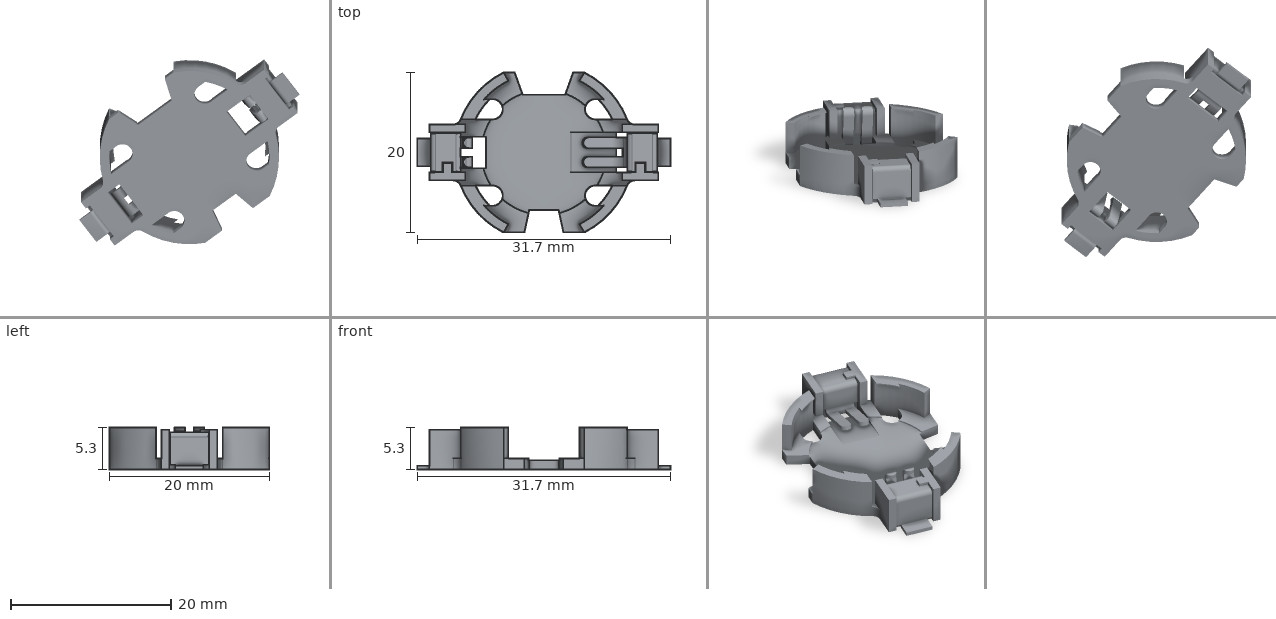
import cadquery as cq
import math


LEFT, RIGHT = -1, 1
SIDES = (LEFT, RIGHT)

plate_radius = 11.2
plate_half_depth = 10.0
plate_height = 1.4
cell_seat_radius = 7.82
cell_seat_floor = 1.2
notch_inner_y = 7.22
back_notch_half_widths = (2.65, 3.65)
front_notch_half_widths = (1.83, 2.43)
arm_half_width = 4.15
arm_end_x = 11.34
arm_flare_radius = 1.0

rim_height = 5.3
rim_inner_radius = 10.0
rim_end_inner_x = 4.43
slot_round_x = 6.4
lip_inner_radius = 9.5
lip_height = 0.15
slot_width = 2.5
slot_outer_y = arm_half_width + slot_width

wall_inner_x = 9.8
wall_outer_x = 14.3
wall_inner_y = 2.5
wall_thickness = 1.0
wall_outer_y = wall_inner_y + wall_thickness
wall_height = 5.0
hook_inner_x = 11.5
hook_outer_x = 12.6
hook_tip_y = -1.35

sheet = 0.5
tight_bend = 0.1
clip_inner_x = 10.4
clip_outer_x = 14.17
clip_width = 4.8
clip_top = 4.7
clip_leg_end = 1.66
clip_notch_gap = 0.1
tab_end_x = 15.85
tab_width = 3.5

finger_width = 1.35
finger_offset = 1.2
finger_pair_width = 2 * finger_offset + finger_width
flat_bend = 0.37
flat_finger_rise = 15.0
flat_finger_tip_x = 4.87
side_bend_z = 0.75
side_hook_x = -9.75
side_hook_bend = 0.3
side_tip_x = -10.07

side_window_inner_x = 7.24
side_window_half_width = 1.95
ramp_start_x = 3.34
ramp_end_x = 9.07
ramp_end_z = 0.7

core_inner_x = clip_inner_x + sheet
core_outer_x = clip_outer_x - sheet
core_height = clip_top - sheet


def box(x_range, y_range, z_range):
    corners = [sorted(pair) for pair in (x_range, y_range, z_range)]
    sizes = [high - low for low, high in corners]
    lows = [low for low, high in corners]
    return cq.Workplane("XY").box(*sizes, centered=False).translate(tuple(lows))


def on_circle(radius, y):
    return (math.sqrt(radius**2 - y**2), y)


def in_quadrants(solid_at):
    """Join the solids that a function of the X and Y signs makes in the four quadrants."""
    joined = cq.Workplane("XY")
    for x_side in SIDES:
        for y_side in SIDES:
            joined = joined.add(solid_at(x_side, y_side))
    return joined.combine()



def edge_notch(half_widths, side):
    inner, outer = half_widths
    points = [
        (-inner, side * notch_inner_y),
        (-outer, side * plate_half_depth),
        (outer, side * plate_half_depth),
        (inner, side * notch_inner_y),
    ]
    return cq.Workplane("XY").polyline(points).close().extrude(plate_height)


def arm_flare(x_side, y_side):
    """Concave flare from the plate edge out to a tower wall."""
    edge_x = on_circle(plate_radius, arm_half_width)[0]
    return (
        cq.Workplane("XY")
        .moveTo(x_side * wall_inner_x, y_side * wall_outer_y)
        .lineTo(x_side * arm_end_x, y_side * wall_outer_y)
        .radiusArc((x_side * edge_x, y_side * arm_half_width), x_side * y_side * arm_flare_radius)
        .lineTo(x_side * wall_inner_x, y_side * arm_half_width)
        .close()
        .extrude(plate_height)
    )


def relief_slot(x_side, y_side):
    middle = (x_side * slot_round_x, y_side * (arm_half_width + slot_width / 2))
    round_end = cq.Workplane("XY").center(*middle).circle(slot_width / 2).extrude(plate_height)
    channel = box(
        (x_side * slot_round_x, x_side * plate_radius),
        (y_side * arm_half_width, y_side * slot_outer_y),
        (0, plate_height),
    )
    inside_rim = cq.Workplane("XY").circle(rim_inner_radius).extrude(plate_height)
    return round_end.union(channel).intersect(inside_rim)


def space_between_rims():
    """Everything above the plate that is open, leaving the four rim segments and their snap lips."""
    base = cq.Workplane("XY").workplane(offset=plate_height)
    height = rim_height - plate_height
    above = (plate_height, rim_height)
    all_x = (-plate_radius, plate_radius)
    lip_z = (rim_height - lip_height, rim_height)
    lips = box(all_x, (-slot_outer_y, slot_outer_y), lip_z)
    lips = lips.cut(cq.Workplane("XY").circle(lip_inner_radius).extrude(rim_height))
    space = base.circle(rim_inner_radius).extrude(height).cut(lips)
    space = space.union(box(all_x, (-arm_half_width, arm_half_width), above))
    inner_y = math.sqrt(rim_inner_radius**2 - rim_end_inner_x**2)
    outer_x = on_circle(plate_radius, plate_half_depth)[0]
    for y_side in SIDES:
        end_gap = [
            (0, 0),
            (rim_end_inner_x, y_side * inner_y),
            (outer_x, y_side * plate_half_depth),
            (-outer_x, y_side * plate_half_depth),
            (-rim_end_inner_x, y_side * inner_y),
        ]
        space = space.union(base.polyline(end_gap).close().extrude(height))
    return space


def finger_ramp():
    """Wedge below the cell seat that gives the flat fingers room to bend down."""
    points = [
        (ramp_start_x, cell_seat_floor),
        (ramp_end_x, ramp_end_z),
        (ramp_end_x, plate_height),
        (ramp_start_x, plate_height),
    ]
    return cq.Workplane("XZ").polyline(points).close().extrude(wall_inner_y, both=True)


def tower(side):
    def span(x_range, y_range, z_range):
        return box([side * x for x in x_range], y_range, z_range)

    body = span((core_inner_x, core_outer_x), (-wall_inner_y, wall_inner_y), (0, core_height))
    body = body.edges("|Y and >Z").fillet(tight_bend)
    for y_side in SIDES:
        y_range = (y_side * wall_inner_y, y_side * wall_outer_y)
        body = body.union(span((wall_inner_x, wall_outer_x), y_range, (0, wall_height)))
    hook = span((hook_inner_x, hook_outer_x), (-wall_inner_y, hook_tip_y), (core_height, wall_height))
    return body.union(hook)


def make_housing():
    plate = cq.Workplane("XY").circle(plate_radius).extrude(rim_height)
    plate = plate.intersect(
        box((-plate_radius, plate_radius), (-plate_half_depth, plate_half_depth), (0, rim_height))
    )
    plate = plate.cut(space_between_rims())
    plate = plate.cut(edge_notch(back_notch_half_widths, 1))
    plate = plate.cut(edge_notch(front_notch_half_widths, -1))
    seat = cq.Workplane("XY").workplane(offset=cell_seat_floor).circle(cell_seat_radius).extrude(plate_height)
    plate = plate.cut(seat)

    housing = plate.cut(in_quadrants(relief_slot))
    housing = housing.cut(finger_ramp())
    housing = housing.union(in_quadrants(arm_flare))

    through = (0, plate_height)
    side_window_y = (-side_window_half_width, side_window_half_width)
    housing = housing.cut(box((-plate_radius, -side_window_inner_x), side_window_y, through))
    housing = housing.cut(box((ramp_end_x, plate_radius), (-wall_inner_y, wall_inner_y), through))
    for side in SIDES:
        housing = housing.union(tower(side))
    return housing



def bent_strip(start, heading, moves, width):
    """Sheet-metal strip following a centre line in the XZ plane, centred on Y = 0.

    Each move is (length,) for a straight or (turn, inside_radius) for a bend; turns are in
    degrees, positive to the left. Returns the solid and the final centre point.
    """
    x, z = start
    angle = math.radians(heading)

    def side_points(px, pz, direction):
        dx = -math.sin(direction) * sheet / 2
        dz = math.cos(direction) * sheet / 2
        return (px + dx, pz + dz), (px - dx, pz - dz)

    first_left, first_right = side_points(x, z, angle)
    left_edges, right_edges = [], []
    for move in moves:
        if len(move) == 1:
            x += move[0] * math.cos(angle)
            z += move[0] * math.sin(angle)
            left, right = side_points(x, z, angle)
            left_edges.append((left,))
            right_edges.append((right,))
            continue
        turn = math.radians(move[0])
        radius = math.copysign(move[1] + sheet / 2, turn)
        centre_x = x - radius * math.sin(angle)
        centre_z = z + radius * math.cos(angle)
        stops = []
        for part in (turn / 2, turn):
            direction = angle + part
            px = centre_x + radius * math.sin(direction)
            pz = centre_z - radius * math.cos(direction)
            stops.append(((px, pz), side_points(px, pz, direction)))
        left_edges.append((stops[0][1][0], stops[1][1][0]))
        right_edges.append((stops[0][1][1], stops[1][1][1]))
        (x, z), angle = stops[1][0], angle + turn

    outline = cq.Workplane("XZ").moveTo(*first_left)
    for edge in left_edges:
        outline = outline.lineTo(*edge[0]) if len(edge) == 1 else outline.threePointArc(*edge)
    outline = outline.lineTo(*right_edges[-1][-1])
    returns = [edges[-1] for edges in right_edges[:-1]]
    for edge, target in zip(reversed(right_edges), reversed([first_right] + returns)):
        outline = outline.lineTo(*target) if len(edge) == 1 else outline.threePointArc(edge[0], target)
    return outline.close().extrude(width / 2, both=True), (x, z)


def clip(side):
    """Tab and strap that wrap over one tower core; the strap is notched around the hook."""
    bend_size = tight_bend + sheet
    tab_moves = [(tab_end_x - clip_outer_x - tight_bend,), (-90, tight_bend)]
    tab, leg_start = bent_strip((tab_end_x, sheet / 2), 180, tab_moves, tab_width)
    strap_moves = [
        (clip_top - bend_size - leg_start[1],),
        (90, tight_bend),
        (clip_outer_x - clip_inner_x - 2 * bend_size,),
        (90, tight_bend),
        (clip_top - bend_size - clip_leg_end,),
    ]
    strap = bent_strip(leg_start, 90, strap_moves, clip_width)[0]
    notch = box(
        (hook_inner_x - clip_notch_gap, hook_outer_x + clip_notch_gap),
        (-clip_width, hook_tip_y + clip_notch_gap),
        (core_height, wall_height),
    )
    body = tab.union(strap.cut(notch))
    return body if side == RIGHT else body.mirror("YZ")


def flat_contact():
    """Contact on the +X side: two fingers rising under the cell."""
    rise = math.radians(flat_finger_rise)
    start = (clip_inner_x + sheet / 2, clip_leg_end)
    bend, bend_end = bent_strip(start, 270, [(-90 - flat_finger_rise, flat_bend)], finger_pair_width)
    contact = clip(RIGHT).union(bend)
    tip_radius = finger_width / 2
    length = (bend_end[0] - flat_finger_tip_x) / math.cos(rise) - tip_radius
    finger, tip = bent_strip(bend_end, 180 - flat_finger_rise, [(length,)], finger_width)
    tip_plane = cq.Plane(origin=(tip[0], 0, tip[1]), xDir=(0, 1, 0), normal=(math.sin(rise), 0, math.cos(rise)))
    finger = finger.union(cq.Workplane(tip_plane).circle(tip_radius).extrude(sheet / 2, both=True))
    for y_side in SIDES:
        contact = contact.union(finger.translate((0, y_side * finger_offset, 0)))
    return contact


def side_finger():
    """Finger that turns up beside the cell and hooks back over at its tip."""
    start = (-clip_inner_x - sheet / 2, clip_leg_end)
    bend_x = -clip_inner_x + tight_bend
    hook_z = rim_height - sheet - side_hook_bend
    run, height = side_hook_x - bend_x, hook_z - side_bend_z
    centre_distance = math.hypot(run, height)
    radius_step = side_hook_bend - tight_bend
    lean = math.degrees(math.atan2(run, height) + math.asin(radius_step / centre_distance))
    straight = math.sqrt(centre_distance**2 - radius_step**2)
    moves = [
        (clip_leg_end - side_bend_z,),
        (180 - lean, tight_bend),
        (straight,),
        (90 + lean, side_hook_bend),
        (side_hook_x - side_tip_x,),
    ]
    finger = bent_strip(start, 270, moves, finger_width)[0]
    radius = finger_width / 2
    tip_centre_x = side_tip_x + radius
    corners = box((side_tip_x, tip_centre_x), (-radius, radius), (hook_z, rim_height))
    round_tip = cq.Workplane("XY").center(tip_centre_x, 0).circle(radius).extrude(rim_height)
    return finger.cut(corners.cut(round_tip))


def side_contact():
    """Contact on the -X side: two sprung fingers that touch the cell's edge."""
    contact = clip(LEFT)
    finger = side_finger()
    for y_side in SIDES:
        contact = contact.union(finger.translate((0, y_side * finger_offset, 0)))
    return contact


housing = make_housing()
cell_base_contact = flat_contact()
cell_edge_contact = side_contact()

result = cq.Compound.makeCompound([housing.val(), cell_base_contact.val(), cell_edge_contact.val()])